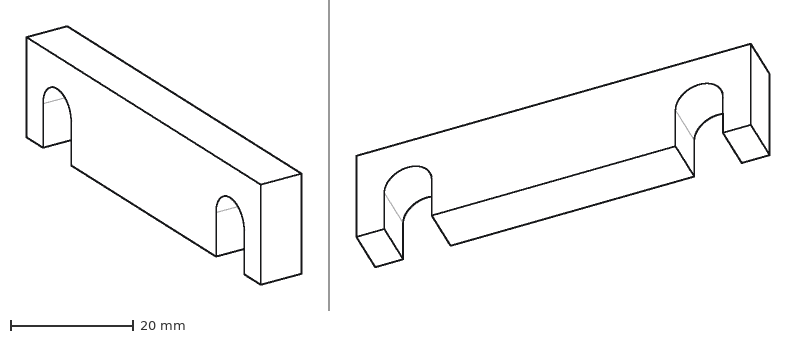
import cadquery as cq

length = 70.0
depth = 8.0
height = 18.0

slot_width = 8.4
slot_height = 12.2
slot_spacing = 51.65
slot_radius = slot_width / 2
arc_center_height = slot_height - slot_radius


def slot_cutter(center_x):
    """Round-topped slot through the full depth, starting at the bottom face."""
    return (
        cq.Workplane("XZ")
        .moveTo(center_x - slot_radius, 0)
        .lineTo(center_x - slot_radius, arc_center_height)
        .threePointArc((center_x, slot_height), (center_x + slot_radius, arc_center_height))
        .lineTo(center_x + slot_radius, 0)
        .close()
        .extrude(depth / 2, both=True)
    )


result = cq.Workplane("XY").box(length, depth, height, centered=(True, True, False))
for side in (-1, 1):
    result = result.cut(slot_cutter(side * slot_spacing / 2))